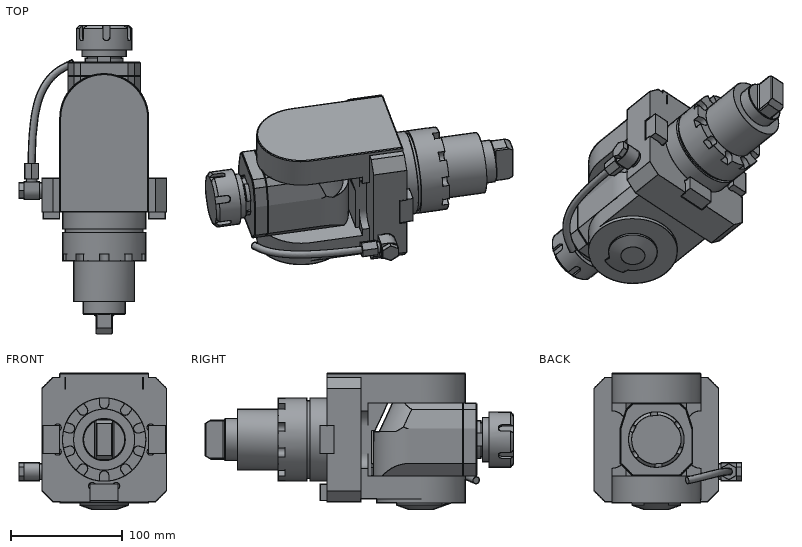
import cadquery as cq


flange_half = 56.0
flange_thickness = 30.5
flange_chamfer = 10.0

key_width = 25.3
key_length = 15.0
key_depth = 6.5
key_height = 6.0
key_edge_gap = 1.0
relief_dia = 6.5
relief_inset = 1.5

pivot_y = 84.7
yoke_radius = 40.0
yoke_top = 60.0
yoke_top_chamfer = 0.8
lower_arm_bottom = -53.3
pivot_disc_bottom = -57.0
fork_half_gap = 32.8
web_back = 37.2
rib_back = 40.5
rib_half_width = 27.2
gusset_bottom = 8.0
gusset_mid = 24.5
gusset_near_reach = 45.3
gusset_far_reach = 54.7
gusset_far_mid_reach = 51.0
gusset_far_bottom_reach = 43.3
web_recess_half_height = 25.8
corner_mark_x = 35.0
corner_mark_depth = 10.5
corner_mark_width = 0.5

cap_radius = 22.0
cap_nose_reach = 27.8
cap_nose_width = 22.2
cap_bottom = -63.0
cap_flat_radius = 10.8

head_half = fork_half_gap
head_front = 135.0
head_chamfer = 11.5
head_upper_chamfer = 5.5
head_bevel_z = 9.7
head_tail_offset = 10.0
head_tail_y = pivot_y - head_tail_offset
tail_cone_z = 7.2
tail_cone_low_radius = 37.8
tail_cone_high_radius = 25.8
head_edge_chamfer = 0.8
head_groove_y = 123.0
head_groove_width = 0.8
head_groove_depth = 0.3

neck_dia = 33.3
neck_ring_dia = 36.0
neck_ring_length = 3.5
neck_slot_count = 4
neck_slot_width = 11.7
neck_slot_floor = 15.0
collar_start = 140.0
collar_dia = 40.0
nut_start = 145.7
nut_end = 168.0
nut_dia = 50.0
nut_chamfer = 2.8
nut_slot_count = 6
nut_slot_width = 6.5
nut_slot_length = 13.5
nut_slot_depth = 3.3
nut_slot_turn = 5.0

pilot_dia = 75.0
pilot_end = -44.0
pilot_groove_dia = 70.2
pilot_groove_start = -15.3
pilot_groove_end = -18.0
shank_dia = 55.0
shank_end = -80.5
tang_base_dia = 38.0
tang_base_end = -92.0
tang_base_chamfer = 0.5
pilot_slot_count = 10
pilot_slot_width = 8.3
pilot_slot_depth = 6.0
pilot_slot_floor = 28.0

tang_end = -109.7
tang_half_width = 7.5
tang_half_height = 17.8
tang_edge_chamfer = 1.0
tang_tip_drop = 3.3
tang_tip_length = 5.5
tang_root_fillet = 1.5

fitting_y = 19.5
fitting_z = -29.0
fitting_end_x = -76.5
fitting_head_x = -72.0
fitting_body_x = -58.3
fitting_dia = 16.5
fitting_neck_dia = 14.5
outlet_x = -65.2
outlet_block_end = 27.2
outlet_neck_dia = 9.7
hose_nut_start = 30.0
hose_nut_end = 44.0
hose_nut_corners = 14.5
hose_dia = 6.5
hose_places = [
    (-63.9, 75.0, fitting_z),
    (-53.3, 113.8, -30.5),
    (-42.2, 126.3, -33.3),
    (-27.8, 134.5, -36.6),
]
hose_start_direction = (0, 1, 0)
hose_end_direction = (1, 0.5, -0.2)


def cylinder_y(dia, start, end, x=0.0, z=0.0):
    """Cylinder along Y between two Y positions."""
    return cq.Workplane("XZ", origin=(x, start, z)).circle(dia / 2).extrude(start - end)


def cylinder_x(dia, start, end, y, z):
    """Cylinder along X between two X positions."""
    return cq.Workplane("YZ", origin=(start, y, z)).circle(dia / 2).extrude(end - start)


def block(x0, x1, y0, y1, z0, z1):
    """Box between opposite corner positions."""
    return cq.Workplane("XY").box(x1 - x0, y1 - y0, z1 - z0, centered=False).translate((x0, y0, z0))


def make_upper_arm():
    """Upper yoke arm: straight sides with a round end about the pivot."""
    outline = (
        cq.Workplane("XY", origin=(0, 0, fork_half_gap))
        .moveTo(-yoke_radius, 0)
        .lineTo(-yoke_radius, pivot_y)
        .threePointArc((0, pivot_y + yoke_radius), (yoke_radius, pivot_y))
        .lineTo(yoke_radius, 0)
        .close()
    )
    solid_arm = outline.extrude(yoke_top - fork_half_gap)
    return solid_arm.faces(">Z").edges().chamfer(yoke_top_chamfer)


def make_flange():
    flange = block(-flange_half, flange_half, 0, flange_thickness, -flange_half, flange_half)
    return flange.edges("|Y").chamfer(flange_chamfer)


def make_key_seat():
    """Key seat at the bottom edge of the flange, with round reliefs in its inner corners."""
    seat_top = key_length + key_edge_gap - flange_half
    seat = block(-key_width / 2, key_width / 2, 0, key_depth, -flange_half, seat_top)
    relief_shift = relief_inset - relief_dia / 2
    for side in (-1, 1):
        x = side * (key_width / 2 + relief_shift)
        seat = seat.union(cylinder_y(relief_dia, 0, key_depth, x, seat_top + relief_shift))
    return seat


def make_key():
    outer = flange_half - key_edge_gap
    return block(-key_width / 2, key_width / 2, -key_height, key_depth, -outer, key_length - outer)


def make_gusset():
    """Rib gusset under the upper arm, leaning further out on the +X side."""
    near = [
        (flange_thickness, fork_half_gap),
        (gusset_near_reach, fork_half_gap),
        (gusset_near_reach, gusset_mid),
        (rib_back, gusset_bottom),
        (flange_thickness, gusset_bottom),
    ]
    far = [
        (flange_thickness, fork_half_gap),
        (gusset_far_reach, fork_half_gap),
        (gusset_far_mid_reach, gusset_mid),
        (gusset_far_bottom_reach, gusset_bottom),
        (flange_thickness, gusset_bottom),
    ]
    return (
        cq.Workplane("YZ", origin=(-rib_half_width, 0, 0))
        .polyline(near)
        .close()
        .workplane(offset=2 * rib_half_width)
        .polyline(far)
        .close()
        .loft(ruled=True)
    )


def make_web_recess(side):
    """Recess in one side of the web, with rounded inner corners."""
    depth = yoke_radius - rib_half_width
    return (
        cq.Workplane("XY")
        .box(2 * depth, web_back - flange_thickness, 2 * web_recess_half_height)
        .translate((side * yoke_radius, (web_back + flange_thickness) / 2, 0))
        .edges("|Y and <X" if side > 0 else "|Y and >X")
        .fillet(depth)
    )


def make_yoke():
    lower = block(-yoke_radius, yoke_radius, 0, pivot_y, lower_arm_bottom, -fork_half_gap)
    disc = (
        cq.Workplane("XY", origin=(0, pivot_y, pivot_disc_bottom))
        .circle(yoke_radius)
        .extrude(-fork_half_gap - pivot_disc_bottom)
    )
    web = block(-yoke_radius, yoke_radius, 0, web_back, -fork_half_gap, fork_half_gap)
    for side in (-1, 1):
        web = web.cut(make_web_recess(side))
    rib = block(-rib_half_width, rib_half_width, 0, rib_back, -fork_half_gap, gusset_bottom)
    return make_upper_arm().union(lower).union(disc).union(web).union(rib).union(make_gusset())


def make_pivot_cap():
    """Flat cone under the pivot, trimmed round with a nose towards +Y."""
    cone = (
        cq.Workplane("XZ", origin=(0, pivot_y, 0))
        .moveTo(0, pivot_disc_bottom)
        .lineTo(cap_nose_reach, pivot_disc_bottom)
        .lineTo(cap_flat_radius, cap_bottom)
        .lineTo(0, cap_bottom)
        .close()
        .revolve(360, (0, 0), (0, 1))
    )
    height = pivot_disc_bottom - cap_bottom
    trim = cq.Workplane("XY", origin=(0, pivot_y, cap_bottom)).circle(cap_radius).extrude(height)
    nose = block(
        -cap_nose_width / 2,
        cap_nose_width / 2,
        pivot_y,
        pivot_y + cap_nose_reach,
        cap_bottom,
        pivot_disc_bottom,
    )
    return cone.intersect(trim.union(nose))


def head_section(inset, start, length):
    """Bevelled head cross-section, shrunk by an inset, extruded from a Y position towards -Y."""
    half = head_half - inset
    low = head_half - head_chamfer
    bevel = head_half - head_upper_chamfer - inset
    right_side = [
        (low, -half),
        (half, -low),
        (half, head_bevel_z),
        (bevel, bevel),
        (low, half),
    ]
    left_side = [(-x, z) for x, z in reversed(right_side)]
    section = cq.Workplane("XZ", origin=(0, start, 0)).polyline(right_side + left_side).close()
    return section.extrude(length)


def make_head_body():
    """Swivel head prism along Y with a fine groove all round it."""
    length = head_front - head_tail_y + head_half
    prism = head_section(0, head_front, length).faces(">Y").edges().chamfer(head_edge_chamfer)
    groove = head_section(0, head_groove_y, head_groove_width).cut(
        head_section(head_groove_depth, head_groove_y, head_groove_width)
    )
    return prism.cut(groove)


def make_head():
    rounded_plan = (
        cq.Workplane("XY", origin=(0, 0, -head_half))
        .moveTo(-head_half, head_front)
        .lineTo(-head_half, head_tail_y)
        .threePointArc((0, head_tail_y - head_half), (head_half, head_tail_y))
        .lineTo(head_half, head_front)
        .close()
        .extrude(2 * head_half)
    )
    cone = (
        cq.Workplane("XZ", origin=(0, pivot_y, 0))
        .moveTo(0, tail_cone_z)
        .lineTo(tail_cone_low_radius, tail_cone_z)
        .lineTo(tail_cone_high_radius, head_half)
        .lineTo(0, head_half)
        .close()
        .revolve(360, (0, 0), (0, 1))
    )
    front_part = block(-head_half, head_half, pivot_y, head_front, tail_cone_z, head_half)
    below = block(-head_half, head_half, 0, head_front, -head_half, tail_cone_z)
    plan = rounded_plan.intersect(below.union(front_part).union(cone))
    return make_head_body().intersect(plan)


def make_nut_slot(angle):
    """Round-ended wrench slot in the rim of the collet nut."""
    floor = nut_dia / 2 - nut_slot_depth
    straight = nut_slot_length - nut_slot_width / 2
    slot = (
        cq.Workplane("XY", origin=(0, 0, floor))
        .moveTo(-nut_slot_width / 2, nut_end)
        .lineTo(-nut_slot_width / 2, nut_end - straight)
        .threePointArc((0, nut_end - nut_slot_length), (nut_slot_width / 2, nut_end - straight))
        .lineTo(nut_slot_width / 2, nut_end)
        .close()
        .extrude(2 * nut_slot_depth)
    )
    return slot.rotate((0, 0, 0), (0, 1, 0), angle)


def make_collet_nut():
    ring_end = head_front + neck_ring_length
    neck = cylinder_y(neck_dia, pivot_y, collar_start)
    neck = neck.union(cylinder_y(neck_ring_dia, pivot_y, ring_end))
    for i in range(neck_slot_count):
        half = neck_slot_width / 2
        slot = block(-half, half, head_front, collar_start, neck_slot_floor, neck_ring_dia)
        neck = neck.cut(slot.rotate((0, 0, 0), (0, 1, 0), i * 360 / neck_slot_count))
    collar = cylinder_y(collar_dia, collar_start, nut_start)
    nut = cylinder_y(nut_dia, nut_start, nut_end).faces(">Y").edges().chamfer(nut_chamfer)
    for i in range(nut_slot_count):
        nut = nut.cut(make_nut_slot(nut_slot_turn + i * 360 / nut_slot_count))
    return neck.union(collar).union(nut)


def make_pilot_slot(angle):
    """Radial slot in the end of the pilot with a round inner end."""
    start = pilot_end + pilot_slot_depth
    half = pilot_slot_width / 2
    centre = pilot_slot_floor + half
    round_end = cylinder_y(pilot_slot_width, start, pilot_end, 0, centre)
    slot = round_end.union(block(-half, half, pilot_end, start, centre, pilot_dia))
    return slot.rotate((0, 0, 0), (0, 1, 0), angle)


def make_spindle():
    pilot = cylinder_y(pilot_dia, flange_thickness / 2, pilot_end)
    groove = cylinder_y(pilot_dia, pilot_groove_start, pilot_groove_end).cut(
        cylinder_y(pilot_groove_dia, pilot_groove_start, pilot_groove_end)
    )
    pilot = pilot.cut(groove)
    for i in range(pilot_slot_count):
        pilot = pilot.cut(make_pilot_slot(i * 360 / pilot_slot_count))
    shank = cylinder_y(shank_dia, 0, shank_end)
    base = cylinder_y(tang_base_dia, 0, tang_base_end).faces("<Y").edges().chamfer(tang_base_chamfer)
    return pilot.union(shank).union(base)


def make_tang():
    """Flat drive tang with sloped tip corners and a filleted root."""
    tip_height = tang_half_height - tang_tip_drop
    tip_start = tang_end + tang_tip_length
    side_profile = [
        (0, -tang_half_height),
        (0, tang_half_height),
        (tip_start, tang_half_height),
        (tang_end, tip_height),
        (tang_end, -tip_height),
        (tip_start, -tang_half_height),
    ]
    tang = (
        cq.Workplane("YZ", origin=(-tang_half_width, 0, 0))
        .polyline(side_profile)
        .close()
        .extrude(2 * tang_half_width)
        .edges("|Y or (<Y and |Z)")
        .chamfer(tang_edge_chamfer)
    )
    for side in (-1, 1):
        x = side * tang_half_width
        root = (
            cq.Workplane("XY", origin=(0, 0, -tang_half_height + tang_edge_chamfer))
            .moveTo(x, tang_base_end)
            .lineTo(x + side * tang_root_fillet, tang_base_end)
            .radiusArc((x, tang_base_end - tang_root_fillet), side * tang_root_fillet)
            .close()
            .extrude(2 * (tang_half_height - tang_edge_chamfer))
        )
        tang = tang.union(root)
    return tang


def make_fitting():
    """Elbow fitting on the side of the flange, with its hose nut."""
    hexagon = (
        cq.Workplane("YZ", origin=(fitting_end_x, fitting_y, fitting_z))
        .transformed(rotate=(0, 0, 90))
        .polygon(6, fitting_dia)
        .extrude(fitting_head_x - fitting_end_x)
    )
    body = cylinder_x(fitting_dia, fitting_head_x, fitting_body_x, fitting_y, fitting_z)
    neck = cylinder_x(fitting_neck_dia, fitting_body_x, -flange_half, fitting_y, fitting_z)
    half = fitting_dia / 2
    outlet = block(
        fitting_head_x,
        fitting_body_x,
        fitting_y,
        outlet_block_end,
        fitting_z - half,
        fitting_z + half,
    )
    outlet_neck = cylinder_y(outlet_neck_dia, outlet_block_end, hose_nut_start, outlet_x, fitting_z)
    hose_nut = (
        cq.Workplane("XZ", origin=(outlet_x, hose_nut_start, fitting_z))
        .transformed(rotate=(0, 0, 90))
        .polygon(6, hose_nut_corners)
        .extrude(hose_nut_start - hose_nut_end)
    )
    return hexagon.union(body).union(neck).union(outlet).union(outlet_neck).union(hose_nut)


def make_hose():
    """Curved hose from the hose nut towards the front of the head."""
    start = cq.Vector(outlet_x, hose_nut_end, fitting_z)
    points = [start] + [cq.Vector(*place) for place in hose_places]
    path = cq.Workplane("XY").spline(points, tangents=[hose_start_direction, hose_end_direction])
    return cq.Workplane("XZ", origin=start.toTuple()).circle(hose_dia / 2).sweep(path)


result = make_flange().union(make_yoke())
for key_angle in (-90, 0, 90):
    result = result.cut(make_key_seat().rotate((0, 0, 0), (0, 1, 0), key_angle))
    result = result.union(make_key().rotate((0, 0, 0), (0, 1, 0), key_angle))

mark_half = corner_mark_width / 2
for mark_x in (-corner_mark_x, corner_mark_x):
    result = result.cut(
        block(
            mark_x - mark_half,
            mark_x + mark_half,
            0,
            corner_mark_width,
            flange_half - corner_mark_depth,
            flange_half,
        )
    )

for piece in (
    make_head(),
    make_pivot_cap(),
    make_collet_nut(),
    make_spindle(),
    make_tang(),
    make_fitting(),
    make_hose(),
):
    result = result.union(piece)